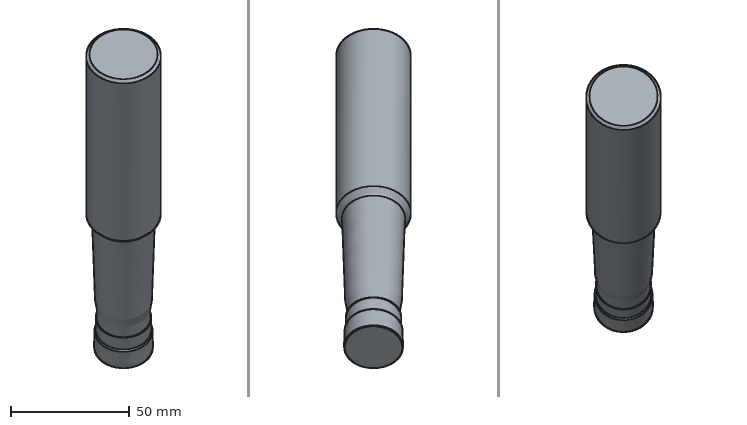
import cadquery as cq

total_length = 181.0
shank_diameter = 31.7
shank_radius = shank_diameter / 2
top_chamfer_width = 1.5
top_chamfer_height = 1.0

shoulder_top_z = 82.7
shoulder_arc_z = 81.0
taper_top_z = 79.5
shoulder_arc_radius = 14.5
taper_top_radius = 13.4
arc_mid_radius = 13.8
arc_mid_z = 80.2

taper_bottom_z = 30.2
taper_bottom_radius = 12.1
neck_top_z = 25.0
neck_radius = 11.4

joint_z = 18.5
head_stem_radius = 11.8
step_top_z = 11.2
step_bottom_z = 10.3
step_radius = 12.3
rim_top_z = 3.3
rim_radius = 12.5
bottom_chamfer = 0.4


def make_shank():
    """Turned shank with shoulder, tapered neck and cylindrical end."""
    profile = (
        cq.Workplane("XZ")
        .moveTo(0, joint_z)
        .lineTo(neck_radius, joint_z)
        .lineTo(neck_radius, neck_top_z)
        .lineTo(taper_bottom_radius, taper_bottom_z)
        .lineTo(taper_top_radius, taper_top_z)
        .threePointArc((arc_mid_radius, arc_mid_z), (shoulder_arc_radius, shoulder_arc_z))
        .lineTo(shank_radius, shoulder_top_z)
        .lineTo(shank_radius, total_length - top_chamfer_height)
        .lineTo(shank_radius - top_chamfer_width, total_length)
        .lineTo(0, total_length)
        .close()
    )
    return profile.revolve(360, (0, 0, 0), (0, 1, 0))


def make_head():
    """Turned head with a stem, a conical step and a flaring rim."""
    profile = (
        cq.Workplane("XZ")
        .lineTo(rim_radius - bottom_chamfer, 0)
        .lineTo(rim_radius, bottom_chamfer)
        .lineTo(rim_radius, rim_top_z)
        .lineTo(step_radius, step_bottom_z)
        .lineTo(head_stem_radius, step_top_z)
        .lineTo(head_stem_radius, joint_z)
        .lineTo(0, joint_z)
        .close()
    )
    return profile.revolve(360, (0, 0, 0), (0, 1, 0))


shank = make_shank()
head = make_head()

result = cq.Compound.makeCompound([shank.val(), head.val()])